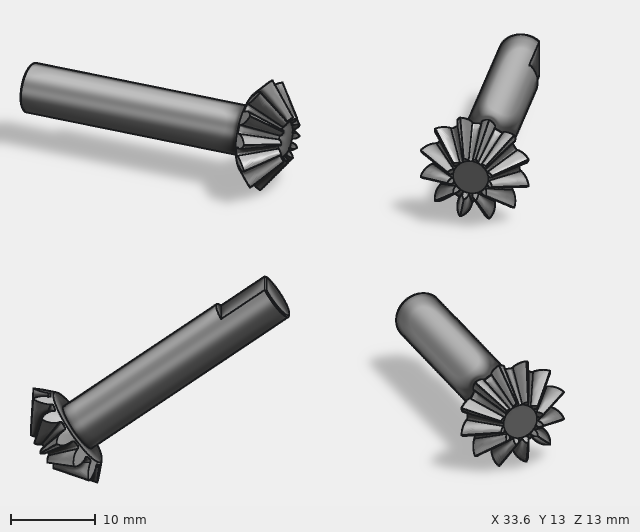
import cadquery as cq
import math

shaft_radius = 3.0
shaft_chamfer = 0.17
flat_length = 6.47
flat_offset = 1.98

overall_length = 33.55
teeth = 12
gear_back_x = 28.65
back_face_radius = 4.93
root_radius = 5.13
tip_radius = 6.7
cone_apex_x = 35.72

fillet = [
    (root_radius, 11.4),
    (5.15, 10.0),
    (5.33, 9.2),
]
flank = [
    fillet[-1],
    (5.65, 8.6),
    (5.97, 7.2),
    (6.35, 4.6),
    (tip_radius, 0.2),
]
loft_margin = 0.5
tip_clearance = 0.17


def back_cone_slope(radius):
    """Radius per unit of distance to the apex, for a point on the 45 degree back cone."""
    x = gear_back_x + radius - back_face_radius
    return radius / (cone_apex_x - x)


tip_slope = back_cone_slope(tip_radius)
root_slope = back_cone_slope(root_radius)
tip_back_x = gear_back_x + tip_radius - back_face_radius
tip_front_radius = tip_slope * (cone_apex_x - overall_length)

front_cone_zero_x = overall_length - tip_front_radius
front_x = (front_cone_zero_x + root_slope * cone_apex_x) / (1 + root_slope)
front_radius = front_x - front_cone_zero_x


def revolve_about_x(points):
    return cq.Workplane("XY").polyline(points).close().revolve(360, (0, 0, 0), (1, 0, 0))


def make_shaft():
    shaft = cq.Workplane("YZ").circle(shaft_radius).extrude(gear_back_x)
    flat_cut = cq.Workplane("XY").box(
        flat_length, shaft_radius, 2 * shaft_radius, centered=(False, False, True)
    ).translate((0, flat_offset, 0))
    return shaft.cut(flat_cut).faces("<X").chamfer(shaft_chamfer)


def gear_section(x):
    """Toothed outline in the plane at x; every section shrinks towards the cone apex."""
    def point(radius, degrees):
        section_radius = back_cone_slope(radius) * (cone_apex_x - x)
        angle = math.radians(degrees)
        return cq.Vector(x, section_radius * math.cos(angle), section_radius * math.sin(angle))

    pitch_angle = 360 / teeth
    root_half_angle = fillet[0][1]
    edges = []
    for index in range(teeth):
        middle = (index + 0.5) * pitch_angle
        rising_fillet = [point(radius, middle - angle) for radius, angle in fillet]
        falling_fillet = [point(radius, middle + angle) for radius, angle in reversed(fillet)]
        rising = [point(radius, middle - angle) for radius, angle in flank]
        falling = [point(radius, middle + angle) for radius, angle in reversed(flank)]
        gap_middle = point(root_radius, middle + pitch_angle / 2)
        next_root = point(root_radius, middle + pitch_angle - root_half_angle)
        edges += [
            cq.Edge.makeThreePointArc(*rising_fillet),
            cq.Edge.makeSpline(rising),
            cq.Edge.makeLine(rising[-1], falling[0]),
            cq.Edge.makeSpline(falling),
            cq.Edge.makeThreePointArc(*falling_fillet),
            cq.Edge.makeThreePointArc(falling_fillet[-1], gap_middle, next_root),
        ]
    return cq.Wire.assembleEdges(edges)


def make_gear():
    envelope = revolve_about_x([
        (gear_back_x, 0),
        (gear_back_x, back_face_radius),
        (tip_back_x + tip_clearance, tip_radius + tip_clearance),
        (overall_length + tip_clearance, tip_front_radius + tip_clearance),
        (front_x, front_radius),
        (front_x, 0),
    ])
    sections = [
        gear_section(gear_back_x - loft_margin),
        gear_section(overall_length + loft_margin),
    ]
    toothed_cone = cq.Workplane(cq.Solid.makeLoft(sections, True))
    return toothed_cone.intersect(envelope)


result = make_shaft().union(make_gear())